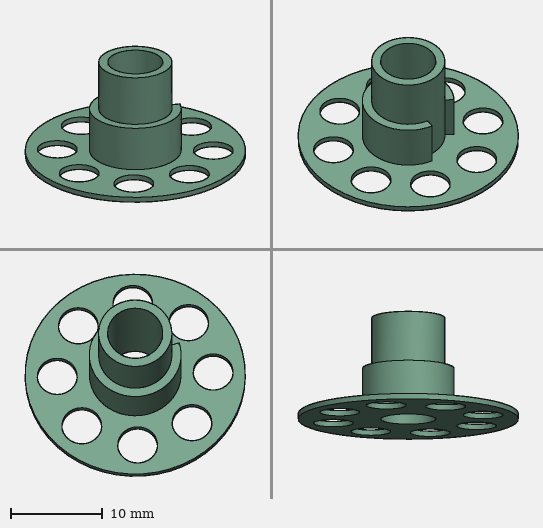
import cadquery as cq
import math

flange_diameter = 24.0
flange_thickness = 0.6
total_height = 11.2
bore_diameter = 6.0
neck_diameter = 8.0
collar_diameter = 10.0
collar_height = 5.0
collar_gap_angle = 60.0
hole_count = 8
hole_diameter = 4.32
hole_circle_radius = 8.5


def cylinder(diameter, height):
    """Upright cylinder standing on the underside of the flange."""
    return cq.Workplane("XY").circle(diameter / 2).extrude(height)


def collar_gap():
    """Wedge above the flange, reaching past the collar on the +Y side."""
    reach = collar_diameter
    half_width = reach * math.tan(math.radians(collar_gap_angle / 2))
    return (
        cq.Workplane("XY")
        .workplane(offset=flange_thickness)
        .polyline([(0, 0), (half_width, reach), (-half_width, reach)])
        .close()
        .extrude(collar_height)
    )


flange = (
    cylinder(flange_diameter, flange_thickness)
    .faces(">Z")
    .workplane()
    .polarArray(hole_circle_radius, 0, 360, hole_count)
    .hole(hole_diameter)
)

collar = cylinder(collar_diameter, flange_thickness + collar_height).cut(collar_gap())

neck = cylinder(neck_diameter, total_height)
bore = cylinder(bore_diameter, total_height)

result = flange.union(collar).union(neck).cut(bore)